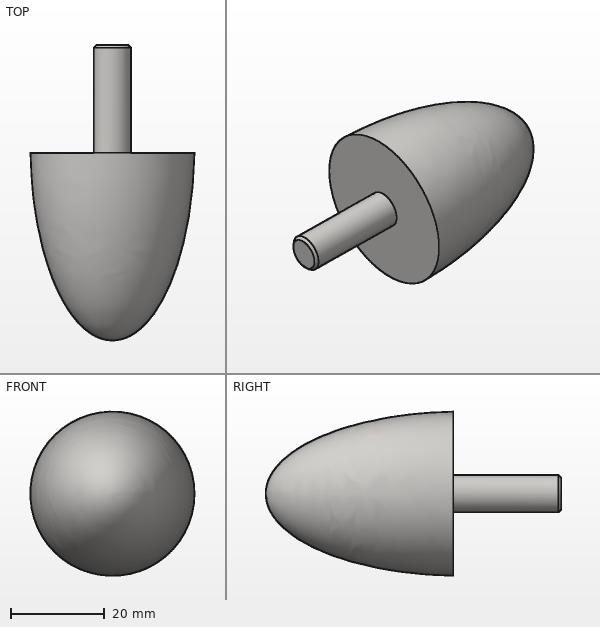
import cadquery as cq

total_length = 63.0
bumper_diameter = 35.0
bumper_length = 40.0
stud_diameter = 8.0
stud_chamfer = 0.6

rim_handle_inset = 0.5
rim_handle_length = 23.5
nose_handle_length = 9.0

stud_length = total_length - bumper_length
bumper_radius = bumper_diameter / 2


def make_bumper():
    """Bullet-shaped bumper with its flat mounting face at Y = 0 and its nose toward -Y."""
    flank_handle = (bumper_radius - rim_handle_inset, -rim_handle_length)
    nose_handle = (nose_handle_length, -bumper_length)
    half_profile = (
        cq.Workplane("XY")
        .moveTo(bumper_radius, 0)
        .bezier([flank_handle, nose_handle, (0, -bumper_length)], includeCurrent=True)
        .lineTo(0, 0)
        .close()
    )
    return half_profile.revolve(360, (0, 0, 0), (0, 1, 0))


def make_stud():
    """Round stud that stands on the mounting face, chamfered at its free end."""
    stud = cq.Workplane("XZ").circle(stud_diameter / 2).extrude(-stud_length)
    return stud.faces(">Y").chamfer(stud_chamfer)


bumper = make_bumper()
stud = make_stud()

result = cq.Compound.makeCompound([bumper.val(), stud.val()])